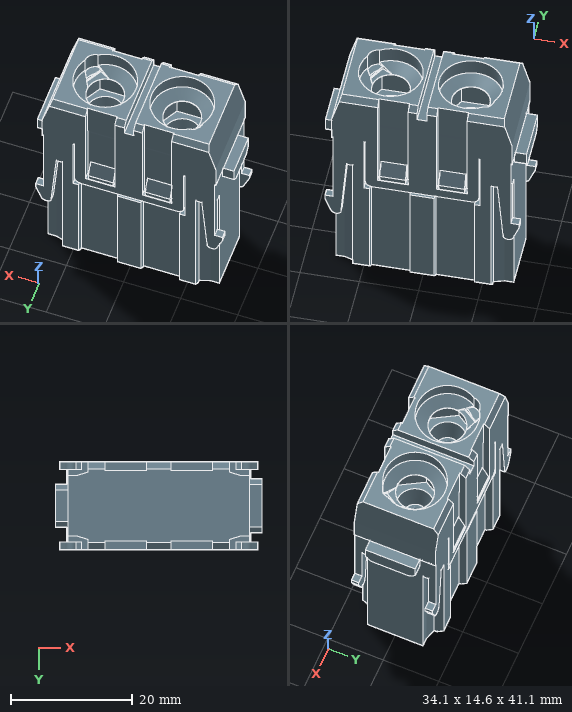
import cadquery as cq

height = 41.1
depth = 14.6
half_depth = depth / 2
body_width = 30.0
body_half_width = body_width / 2
shoulder_z = 31.2
bottom_chamfer = 1.2

cap_overhang = 0.2
cap_half_width = body_half_width + cap_overhang
cap_top_half_width = 13.7
cap_slope_z = 35.7
cap_chamfer = 0.95
notch_width = 1.65
notch_depth = 2.4

recess_depth = 1.45
recess_half_width = 8.85
center_rib_half_width = 2.05
rib_top_z = 20.05
tongue_half_width = 9.58
tongue_side_gap = 0.2
pocket_half_width = tongue_half_width + tongue_side_gap
tongue_bottom_z = 20.65
tongue_radius = 1.2

window_width = 5.15
window_pitch = 9.95
window_offset = 0.1
window_bottom_z = 22.45
window_upper_depth = 1.1
window_lower_depth = 1.2
window_step_top_z = 34.65
window_step_bottom_z = 34.15
ramp_width = 4.35
ramp_shift = -0.1
ramp_top_z = 25.85
ramp_edge_z = 23.35
ramp_edge_depth = 0.1

slot_inner_x = 11.67
slot_bend_x = 13.5
slot_top_z = 25.15
slot_inner_depth = 1.73
slot_outer_depth = 2.3
arm_thickness = 1.3
arm_root_x = 12.75
arm_tip_x = 13.7
hook_x = 16.35
hook_top_z = 16.85
hook_edge_z = 15.95
hook_toe_x = 15.35
hook_toe_z = 13.3
hook_bottom_z = 12.82

overall_width = 34.1
tab_reach = overall_width / 2
tab_height = 3.35
tab_chamfer = 1.0
left_tab_width = 7.1
right_tab_width = 8.95

bore_pitch = 13.5
bore_radius = 5.35
bore_depth = 2.9
socket_radius = 3.2
socket_top_depth = 4.0
socket_bottom_depth = 9.05
hex_corner_diameter = 9.6
hex_top_depth = 4.05
pin_diameter = 4.0
pin_radius = pin_diameter / 2
seat_depth = 12.35
pin_tip_depth = 9.25

key_angle = 135.0
key_root_half_width = 1.97
key_root_distance = 2.5
key_tip_half_width = 1.2
key_tip_distance = 5.2
key_tip_radius = 5.67
key_ledge_depth = 3.45
key_floor_depth = 4.03
key_ledge_angle = 150.0
key_ledge_distance = 4.03


def span_box(x0, x1, y0, y1, z0, z1):
    """Box between two limits on each axis."""
    return cq.Workplane("XY").box(x1 - x0, y1 - y0, z1 - z0, centered=False).translate((x0, y0, z0))


def face_box(x0, x1, thickness, z0, z1):
    """Box lying just inside the -Y face."""
    return span_box(x0, x1, -half_depth, thickness - half_depth, z0, z1)


def on_both_faces(shape):
    """The shape together with its copy on the +Y face."""
    return shape.union(shape.mirror("XZ"))


def on_all_corners(shape):
    """The shape together with its copies at the other three vertical corners."""
    return on_both_faces(shape.union(shape.mirror("YZ")))


def make_body():
    body = span_box(-body_half_width, body_half_width, -half_depth, half_depth, 0, shoulder_z)
    return body.faces("<Z").edges("|X").chamfer(bottom_chamfer)


def make_cap():
    right_side = [
        (cap_half_width, shoulder_z),
        (cap_half_width, cap_slope_z),
        (cap_top_half_width, height),
    ]
    left_side = [(-x, z) for x, z in reversed(right_side)]
    cap = cq.Workplane("XZ").polyline(right_side + left_side).close().extrude(half_depth, both=True)
    cap = cap.faces(">Z").edges("|X").chamfer(cap_chamfer)
    notch = span_box(
        -notch_width / 2, notch_width / 2, -half_depth, half_depth, height - notch_depth, height
    )
    return cap.cut(notch)


def make_face_recess():
    panel = face_box(-recess_half_width, recess_half_width, recess_depth, 0, rib_top_z)
    center_rib = face_box(-center_rib_half_width, center_rib_half_width, recess_depth, 0, rib_top_z)
    pocket = face_box(-pocket_half_width, pocket_half_width, recess_depth, rib_top_z, shoulder_z)
    return on_both_faces(panel.cut(center_rib).union(pocket))


def make_tongue():
    tongue = face_box(-tongue_half_width, tongue_half_width, recess_depth, tongue_bottom_z, shoulder_z)
    return on_both_faces(tongue.faces("<Z").edges("|Y").fillet(tongue_radius))


def make_side_profile(points, x_center, width):
    """Extrude (depth below the -Y face, Z) points along X."""
    outline = [(inset - half_depth, z) for inset, z in points]
    return cq.Workplane("YZ").workplane(offset=x_center - width / 2).polyline(outline).close().extrude(width)


def make_latch_window(x_center):
    opening_points = [
        (0, window_bottom_z),
        (window_lower_depth, window_bottom_z),
        (window_lower_depth, window_step_bottom_z),
        (window_upper_depth, window_step_top_z),
        (window_upper_depth, height),
        (0, height),
    ]
    ramp_points = [
        (window_lower_depth, window_bottom_z),
        (ramp_edge_depth, window_bottom_z),
        (ramp_edge_depth, ramp_edge_z),
        (window_lower_depth, ramp_top_z),
    ]
    opening = make_side_profile(opening_points, x_center, window_width)
    ramp = make_side_profile(ramp_points, x_center + ramp_shift, ramp_width)
    return on_both_faces(opening.cut(ramp))


def make_corner_slots():
    front = -half_depth
    slot = (
        cq.Workplane("XY")
        .moveTo(slot_inner_x, front)
        .lineTo(slot_inner_x, front + slot_inner_depth)
        .lineTo(slot_bend_x, front + slot_outer_depth)
        .lineTo(body_half_width, front + slot_outer_depth)
        .lineTo(body_half_width, front)
        .close()
        .extrude(slot_top_z)
    )
    return on_all_corners(slot)


def make_latch_arms():
    arm = (
        cq.Workplane("XZ", origin=(0, arm_thickness - half_depth, 0))
        .moveTo(arm_root_x, slot_top_z)
        .lineTo(body_half_width, slot_top_z)
        .lineTo(body_half_width, hook_top_z)
        .lineTo(hook_x, hook_top_z)
        .lineTo(hook_x, hook_edge_z)
        .lineTo(hook_toe_x, hook_toe_z)
        .threePointArc(((hook_toe_x + arm_tip_x) / 2, hook_bottom_z), (arm_tip_x, hook_toe_z))
        .close()
        .extrude(arm_thickness)
    )
    return on_all_corners(arm)


def make_tab(side, width):
    """Side tab with chamfered lower corners; side is -1 for -X and +1 for +X."""
    x0, x1 = sorted((side * body_half_width, side * tab_reach))
    tab = span_box(x0, x1, -width / 2, width / 2, shoulder_z - tab_height, shoulder_z)
    return tab.faces("<Z").edges("|X").chamfer(tab_chamfer)


def make_bore():
    """Stepped bore around the Z axis, with a pointed pin left standing at its bottom."""
    profile = [
        (0, height),
        (bore_radius, height),
        (bore_radius, height - bore_depth),
        (socket_radius, height - socket_top_depth),
        (socket_radius, height - socket_bottom_depth),
        (pin_radius, height - seat_depth),
        (0, height - pin_tip_depth),
    ]
    return cq.Workplane("XZ").polyline(profile).close().revolve(360, (0, 0), (0, 1))


def make_hex_chamber():
    """Hexagonal widening of the bore below its lip, with two flats facing Y."""
    hexagon = cq.Workplane("XY", origin=(0, 0, height - hex_top_depth)).polygon(6, hex_corner_diameter)
    return hexagon.extrude(hex_top_depth - socket_bottom_depth)


def make_keyway():
    """Tapered keyway with a ledge at its outer end, pointing to the upper left of the bore."""
    outline = (
        cq.Workplane("XY", origin=(0, 0, height))
        .moveTo(key_root_distance, -key_root_half_width)
        .lineTo(key_tip_distance, -key_tip_half_width)
        .threePointArc((key_tip_radius, 0), (key_tip_distance, key_tip_half_width))
        .lineTo(key_root_distance, key_root_half_width)
        .close()
    )
    keyway = outline.extrude(-key_floor_depth).rotate((0, 0, 0), (0, 0, 1), key_angle)
    ledge = span_box(
        key_ledge_distance,
        2 * key_tip_radius,
        -key_tip_radius,
        key_tip_radius,
        height - key_floor_depth,
        height - key_ledge_depth,
    )
    return keyway.cut(ledge.rotate((0, 0, 0), (0, 0, 1), key_ledge_angle))


result = make_body().cut(make_face_recess()).cut(make_corner_slots())
result = result.union(make_cap()).union(make_tongue()).union(make_latch_arms())
result = result.union(make_tab(-1, left_tab_width)).union(make_tab(1, right_tab_width))

for side in (-1, 1):
    result = result.cut(make_latch_window(window_offset + side * window_pitch / 2))

left_cavity = make_bore().union(make_hex_chamber()).union(make_keyway()).translate((-bore_pitch / 2, 0, 0))
right_cavity = left_cavity.rotate((0, 0, 0), (0, 0, 1), 180)
result = result.cut(left_cavity).cut(right_cavity)